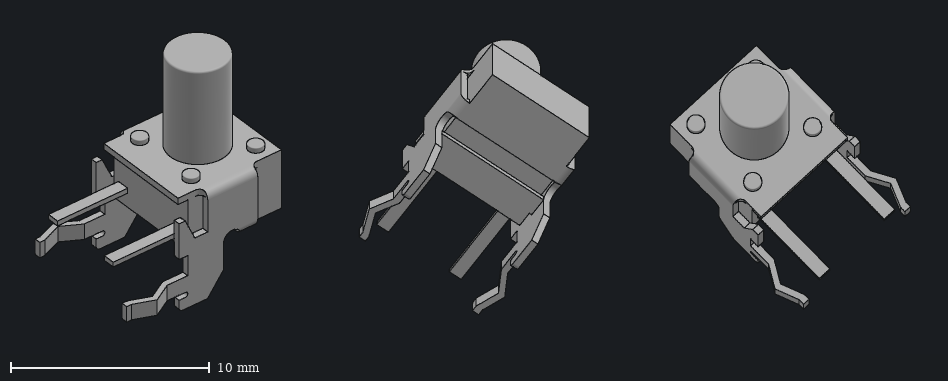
import cadquery as cq


total_height = 12.36
housing_bottom = 2.97
cover_top = 6.61
sheet = 0.4
cover_bottom = cover_top - sheet

housing_half = 3.0
cover_front = -3.66

button_radius = 1.75
button_rounding = 0.12
rivet_radius = 0.46
rivet_height = 0.31
rivet_rounding = 0.05
rivet_offset = 2.08

pin_width = 0.74
pin_thickness = 0.31
pin_offset = 2.25
pin_middle_z = 4.0
pin_tip = -7.51

strap_outer = 3.55
strap_inner = strap_outer - sheet
strap_back = 1.04
strap_front = -2.18
bend_outer = 0.5
bend_inner = bend_outer - sheet
root_fillet = 0.37

arch_radius = 0.57
arch_middle = -0.58
groove_top = housing_bottom + sheet
foot_back = arch_middle - arch_radius

foot_front = -4.02
shelf_z = 4.15
prong_top = 5.49
prong_bottom = 3.26
neck_front = -3.46
arm_top = 2.01
arm_bottom = 1.04
slot_height = 0.31
slot_radius = slot_height / 2
slot_bottom = arm_bottom - slot_height
foot_slope_top = 1.33
toe_radius = 0.25

arm_bend_y = -4.78
arm_peak_y = -5.95
arm_end_y = -7.19
arm_peak_x = 4.2
arm_end_x = 3.71


def block(x0, x1, y0, y1, z0, z1):
    """Box between two opposite corners."""
    return cq.Workplane("XY").box(x1 - x0, y1 - y0, z1 - z0, centered=False).translate((x0, y0, z0))


def make_housing():
    body = block(-housing_half, housing_half, -housing_half, housing_half, housing_bottom, cover_top)
    cover = block(-housing_half, housing_half, cover_front, housing_half, cover_bottom, cover_top)
    groove = block(
        -housing_half, housing_half, foot_back, arch_middle + arch_radius, housing_bottom, groove_top
    )
    return body.union(cover).cut(groove)


def make_button():
    height = total_height - cover_top
    button = cq.Workplane("XY").workplane(offset=cover_top).circle(button_radius).extrude(height)
    return button.faces(">Z").edges().fillet(button_rounding)


def make_rivets():
    rivets = (
        cq.Workplane("XY")
        .workplane(offset=cover_top)
        .rect(2 * rivet_offset, 2 * rivet_offset, forConstruction=True)
        .vertices()
        .circle(rivet_radius)
        .extrude(rivet_height)
    )
    return rivets.faces(">Z").edges().fillet(rivet_rounding)


def make_pin():
    half_width = pin_width / 2
    half_thickness = pin_thickness / 2
    return block(
        pin_offset - half_width, pin_offset + half_width,
        pin_tip, -housing_half,
        pin_middle_z - half_thickness, pin_middle_z + half_thickness,
    )


def make_top_fold(y0, y1):
    """Strap folded down from the cover, open at the bottom."""
    outer = block(housing_half, strap_outer, y0, y1, housing_bottom, cover_top)
    outer = outer.edges("|Y and >X and >Z").fillet(bend_outer)
    inner = block(housing_half, strap_inner, y0, y1, housing_bottom, cover_bottom)
    return outer.cut(inner.edges("|Y and >X and >Z").fillet(bend_inner))


def make_double_fold(y0, y1):
    """Strap folded down from the cover and folded in again under the housing."""
    outer = block(housing_half, strap_outer, y0, y1, housing_bottom, cover_top)
    inner = block(housing_half, strap_inner, y0, y1, groove_top, cover_bottom)
    outer = outer.edges("|Y and >X").fillet(bend_outer)
    return outer.cut(inner.edges("|Y and >X and >Z").fillet(bend_inner))


def make_root_fillets():
    """Concave flares joining the ends of the top fold to the edge of the cover."""
    y0 = strap_front - root_fillet
    y1 = strap_back + root_fillet
    flare = block(housing_half, housing_half + root_fillet, y0, y1, cover_bottom, cover_top)
    hollows = (
        cq.Workplane("XY")
        .workplane(offset=cover_bottom)
        .pushPoints([(housing_half + root_fillet, y0), (housing_half + root_fillet, y1)])
        .circle(root_fillet)
        .extrude(sheet)
    )
    bend = block(housing_half, strap_outer, y0, y1, housing_bottom, cover_top)
    bend = bend.edges("|Y and >X and >Z").fillet(bend_outer)
    gap = block(housing_half, strap_inner, strap_front, strap_back, cover_bottom - sheet, cover_bottom)
    return flare.cut(hollows).intersect(bend).cut(gap)


def make_foot():
    """Flat plate with a prong, a slot with a rounded end and a rounded toe."""
    slot_centre = neck_front - slot_radius
    plate = (
        cq.Workplane("YZ")
        .workplane(offset=strap_inner)
        .moveTo(foot_back, shelf_z)
        .lineTo(-housing_half, shelf_z)
        .lineTo(foot_front + sheet, prong_top)
        .lineTo(foot_front, prong_top)
        .lineTo(foot_front, prong_bottom)
        .lineTo(neck_front, prong_bottom)
        .lineTo(neck_front, arm_top)
        .lineTo(slot_centre, arm_top)
        .lineTo(slot_centre, arm_bottom)
        .threePointArc((neck_front, arm_bottom - slot_radius), (slot_centre, slot_bottom))
        .lineTo(foot_front, slot_bottom)
        .lineTo(foot_front, 0)
        .lineTo(strap_front, 0)
        .lineTo(foot_back, foot_slope_top)
        .close()
        .extrude(sheet)
    )
    return plate.edges("|X and <Y and <Z").fillet(toe_radius)


def make_arm():
    """Retaining arm kinked outwards, of constant width along X."""
    outer_face = [
        (strap_outer, neck_front - slot_radius),
        (strap_outer, arm_bend_y),
        (arm_peak_x, arm_peak_y),
        (arm_end_x, arm_end_y),
        (arm_end_x, pin_tip),
    ]
    inner_face = [(x - sheet, y) for x, y in reversed(outer_face)]
    profile = cq.Workplane("XY").workplane(offset=arm_bottom).polyline(outer_face + inner_face).close()
    return profile.extrude(arm_top - arm_bottom)


def make_side():
    """One complete side of the frame, at positive X, with a ledge filling the gap beside the foot."""
    arch = (
        cq.Workplane("YZ")
        .workplane(offset=housing_half)
        .center(arch_middle, housing_bottom)
        .circle(arch_radius)
        .extrude(strap_outer - housing_half)
    )
    strap = make_double_fold(arch_middle, strap_back).union(make_top_fold(strap_front, arch_middle))
    ledge = block(housing_half, strap_inner, strap_front, foot_back, housing_bottom, groove_top)
    side = strap.cut(arch).union(ledge).union(make_root_fillets())
    return side.union(make_foot()).union(make_arm())


right_half = make_side().union(make_pin())
result = make_housing().union(make_button()).union(make_rivets())
result = result.union(right_half).union(right_half.mirror("YZ"))